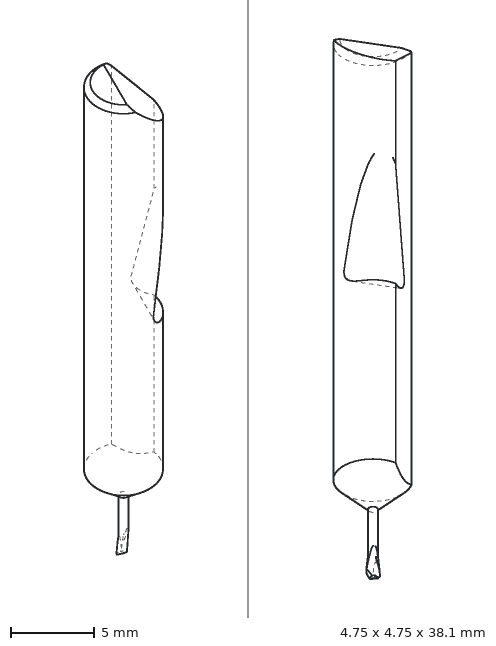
import cadquery as cq
import math

total_length = 38.1
shank_diameter = 4.75
shank_radius = shank_diameter / 2
shank_bottom = 6.85
top_chamfer = 0.4

neck_radius = 0.3
cone_bottom = shank_bottom - (shank_radius - neck_radius)

side_flat_distance = 2.0
side_flat_angle = 143.0

bevel_edge_y = -0.55

notch_bottom = 19.55
notch_radius = 1.03
notch_floor_y = 1.1
notch_slope = 8.8

head_radius = 0.45
flare_top = 1.52
head_bottom = 0.1
tip_x = -0.3
corner_chamfer = 0.4
facet_top = 1.35
facet_inner_x = -0.05
relief_top = 2.05
relief_knee_y = 0.23
relief_knee_z = 1.68
flank_edge_y = 0.05
flank_inner_y = 0.23

clearance = 0.75
cut_width = shank_diameter + 2 * clearance


def extrude_across(outline, width):
    """Extrude a closed (y, z) outline along X, centred on X = 0."""
    return cq.Workplane("YZ").polyline(outline).close().extrude(width / 2, both=True)


def make_body():
    """Shank, cone and neck as one turned shape."""
    return (
        cq.Workplane("XZ")
        .moveTo(0, flare_top)
        .lineTo(neck_radius, flare_top)
        .lineTo(neck_radius, cone_bottom)
        .lineTo(shank_radius, shank_bottom)
        .lineTo(shank_radius, total_length - top_chamfer)
        .lineTo(shank_radius - top_chamfer, total_length)
        .lineTo(0, total_length)
        .close()
        .revolve(360, (0, 0, 0), (0, 1, 0))
    )


def make_side_flat_cutter():
    """Block outside the flat, over the full height of the cone and shank."""
    return (
        cq.Workplane("XY", origin=(0, 0, cone_bottom))
        .center(side_flat_distance + shank_radius / 2, 0)
        .rect(shank_radius, cut_width)
        .extrude(total_length - cone_bottom)
        .rotate((0, 0, 0), (0, 0, 1), side_flat_angle)
    )


def make_bevel_cutter():
    """Wedge above the 45 degree bevel."""
    outer_y = shank_radius + clearance
    drop = outer_y - bevel_edge_y
    outline = [
        (bevel_edge_y, total_length),
        (outer_y, total_length),
        (outer_y, total_length - drop),
    ]
    return extrude_across(outline, cut_width)


def make_notch_cutter():
    """Notch with a level bottom, a rounded corner and a long sloping floor."""
    slope = math.radians(notch_slope)
    outer_y = shank_radius + clearance
    centre_y = notch_floor_y + notch_radius
    centre_z = notch_bottom + notch_radius
    tangent_y = centre_y - notch_radius * math.cos(slope)
    tangent_z = centre_z + notch_radius * math.sin(slope)
    floor_top_z = tangent_z + (outer_y - tangent_y) / math.tan(slope)
    arc_angle = math.pi + (math.pi / 2 - slope) / 2
    arc_middle = (
        centre_y + notch_radius * math.cos(arc_angle),
        centre_z + notch_radius * math.sin(arc_angle),
    )
    return (
        cq.Workplane("YZ")
        .moveTo(outer_y, notch_bottom)
        .lineTo(centre_y, notch_bottom)
        .threePointArc(arc_middle, (tangent_y, tangent_z))
        .lineTo(outer_y, floor_top_z)
        .close()
        .extrude(cut_width / 2, both=True)
    )


def make_head():
    """Head flaring out from the neck, with a tip on -X and a chamfered corner on +X."""
    outline = [
        (head_radius, flare_top),
        (head_radius, head_bottom + corner_chamfer),
        (head_radius - corner_chamfer, head_bottom),
        (tip_x / 2, head_bottom),
        (tip_x, 0),
        (-head_radius, head_bottom),
        (-head_radius, flare_top),
    ]
    profile = cq.Workplane("XZ").polyline(outline).close().extrude(head_radius, both=True)
    flare = (
        cq.Workplane("XZ")
        .lineTo(head_radius, 0)
        .lineTo(neck_radius, flare_top)
        .lineTo(0, flare_top)
        .close()
        .revolve(360, (0, 0, 0), (0, 1, 0))
    )
    return profile.intersect(flare)


def make_facet_cutter():
    """Trims the -X, -Y side of the head to a flat facet running in to the tooth."""
    return (
        cq.Workplane("XY")
        .moveTo(facet_inner_x, -head_radius)
        .lineTo(-head_radius, flank_edge_y)
        .lineTo(-clearance, flank_edge_y)
        .lineTo(-clearance, -head_radius)
        .close()
        .extrude(facet_top)
    )


def make_relief_cutter():
    """Removes the +Y side of the head along a plane leaning in to the tip."""
    outline = [
        (clearance, relief_top),
        (neck_radius, relief_top),
        (relief_knee_y, relief_knee_z),
        (0, 0),
        (clearance, 0),
    ]
    return extrude_across(outline, 2 * clearance)


def make_flank_cutter():
    """Trims the -X, +Y corner so the tooth narrows toward its cutting edge."""
    return (
        cq.Workplane("XY")
        .moveTo(-head_radius, flank_edge_y)
        .lineTo(0, flank_inner_y)
        .lineTo(0, clearance)
        .lineTo(-clearance, clearance)
        .lineTo(-clearance, flank_edge_y)
        .close()
        .extrude(facet_top)
    )


shank_and_neck = (
    make_body()
    .cut(make_side_flat_cutter())
    .cut(make_bevel_cutter())
    .cut(make_notch_cutter())
)
result = (
    shank_and_neck
    .union(make_head())
    .cut(make_facet_cutter())
    .cut(make_relief_cutter())
    .cut(make_flank_cutter())
)